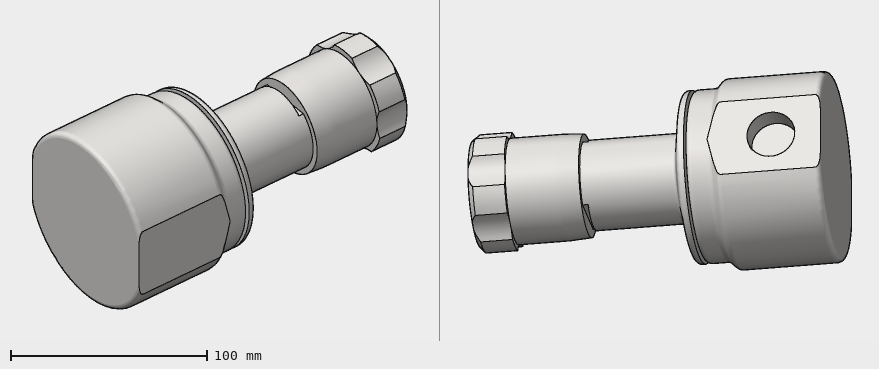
import cadquery as cq
import math

length = 185.5

head_diameter = 97.8
head_radius = head_diameter / 2
head_shoulder_y = 52.9
end_rounding = 2.8
shoulder_rounding = 3.2
across_flats = 88.9
ring_radius = across_flats / 2
ring_end_y = 70.0
shoulder_end_y = head_shoulder_y + head_radius - ring_radius

groove_floor_radius = 36.7
groove_width = 1.0
disc_start_y = ring_end_y + groove_width
disc_rim_end_y = 74.5
cone_end_y = 78.9
disc_rounding = 2.8
neck_rounding = 1.9

neck_radius = 23.2
notch_start_y = 125.6
notch_half_height = 17.6

sleeve_start_y = 128.5
sleeve_start_radius = 26.5
sleeve_radius = 27.3
taper_end_y = 139.7

nut_start_y = 166.3
nut_radius = 30.6
nut_chamfer_length = 2.8
nut_chamfer_depth = 3.2
grip_count = 6
grip_radius = 17.8
grip_first_angle = 1.7
grip_axis_distance = sleeve_radius + grip_radius

hole_diameter = 24.7
hole_y = 25.6
hole_depth = 13.7


def round_edge(body, radius, edge_radius, y):
    """Fillet the circular edge of the given radius that is centred at height y."""
    tolerance = 0.002
    edges = [
        edge for edge in body.edges("%CIRCLE").vals()
        if abs(edge.radius() - edge_radius) < tolerance and abs(edge.Center().y - y) < tolerance
    ]
    return body.newObject(edges).fillet(radius)


def turned_body():
    taper_drop = sleeve_radius - sleeve_start_radius
    taper_middle = (sleeve_radius - taper_drop / 4, (sleeve_start_y + taper_end_y) / 2)
    body = (
        cq.Workplane("XY")
        .lineTo(head_radius, 0)
        .lineTo(head_radius, head_shoulder_y)
        .lineTo(ring_radius, shoulder_end_y)
        .lineTo(ring_radius, ring_end_y)
        .lineTo(groove_floor_radius, ring_end_y)
        .lineTo(groove_floor_radius, disc_start_y)
        .lineTo(ring_radius, disc_start_y)
        .lineTo(ring_radius, disc_rim_end_y)
        .lineTo(neck_radius, cone_end_y)
        .lineTo(neck_radius, sleeve_start_y)
        .lineTo(sleeve_start_radius, sleeve_start_y)
        .threePointArc(taper_middle, (sleeve_radius, taper_end_y))
        .lineTo(sleeve_radius, nut_start_y)
        .lineTo(nut_radius, nut_start_y)
        .lineTo(nut_radius, length - nut_chamfer_length)
        .lineTo(nut_radius - nut_chamfer_depth, length)
        .lineTo(0, length)
        .close()
        .revolve(360, (0, 0, 0), (0, 1, 0))
    )
    body = round_edge(body, end_rounding, head_radius, 0)
    body = round_edge(body, shoulder_rounding, head_radius, head_shoulder_y)
    body = round_edge(body, shoulder_rounding, ring_radius, shoulder_end_y)
    body = round_edge(body, end_rounding, ring_radius, ring_end_y)
    body = round_edge(body, disc_rounding, ring_radius, disc_rim_end_y)
    return round_edge(body, neck_rounding, neck_radius, cone_end_y)


def head_flats():
    """Blocks that trim both sides of the head down to the flats."""
    flat_length = shoulder_end_y + shoulder_rounding
    flat = cq.Workplane("XY").box(head_radius, flat_length, head_diameter,
                                  centered=(False, False, True)).translate((across_flats / 2, 0, 0))
    return flat.union(flat.mirror("YZ"))


def wrench_notches():
    """Blocks that cut the upper and lower notches beside the sleeve."""
    block = cq.Workplane("XY").box(2 * neck_radius, sleeve_start_y - notch_start_y, neck_radius,
                                   centered=(True, False, False))
    notch = block.translate((0, notch_start_y, notch_half_height))
    return notch.union(notch.mirror("XY"))


def grip_groove(index):
    """Cylinder that cuts one grip groove along the nut."""
    angle = math.radians(grip_first_angle + index * 360 / grip_count)
    nut_length = length - nut_start_y
    return (
        cq.Workplane("XZ", origin=(0, length, 0))
        .center(-grip_axis_distance * math.cos(angle), -grip_axis_distance * math.sin(angle))
        .circle(grip_radius)
        .extrude(nut_length)
    )


def side_hole():
    return (
        cq.Workplane("YZ", origin=(-across_flats / 2, hole_y, 0))
        .circle(hole_diameter / 2)
        .extrude(hole_depth)
    )


result = turned_body().cut(head_flats()).cut(wrench_notches()).cut(side_hole())
for groove_index in range(grip_count):
    result = result.cut(grip_groove(groove_index))